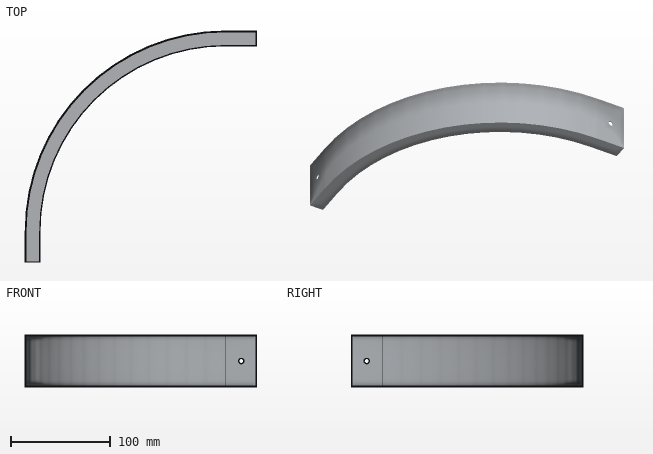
import cadquery as cq

outer_size = 231.8
height = 52.0
leg_length = 31.0
flange_width = 14.8
thickness = 0.8
hole_diameter = 5.0
hole_from_end = 15.0

outer_radius = outer_size - leg_length


def bent_strip(near, far, strip_height):
    """Quarter bend with straight legs, lying between two inward offsets from the outer face.

    The bend centre is at the origin; the legs run toward +X and -Y.
    """
    outer = outer_radius - near
    inner = outer_radius - far
    diagonal = 0.5 ** 0.5
    return (
        cq.Workplane("XY")
        .moveTo(-outer, -leg_length)
        .lineTo(-outer, 0)
        .threePointArc((-outer * diagonal, outer * diagonal), (0, outer))
        .lineTo(leg_length, outer)
        .lineTo(leg_length, inner)
        .lineTo(0, inner)
        .threePointArc((-inner * diagonal, inner * diagonal), (-inner, 0))
        .lineTo(-inner, -leg_length)
        .close()
        .extrude(strip_height)
    )


def channel():
    """Web on the outside of the bend, flanges pointing to the bend centre."""
    body = bent_strip(0, flange_width, height)
    cavity = bent_strip(thickness, flange_width, height - 2 * thickness)
    return body.cut(cavity.translate((0, 0, thickness)))


def leg_hole(plane, along_leg):
    """Cutter for the hole through the web of one leg, at mid height."""
    return (
        cq.Workplane(plane)
        .center(along_leg, height / 2)
        .circle(hole_diameter / 2)
        .extrude(2 * outer_radius, both=True)
    )


hole_position = leg_length - hole_from_end
result = (
    channel()
    .cut(leg_hole("XZ", hole_position))
    .cut(leg_hole("YZ", -hole_position))
)